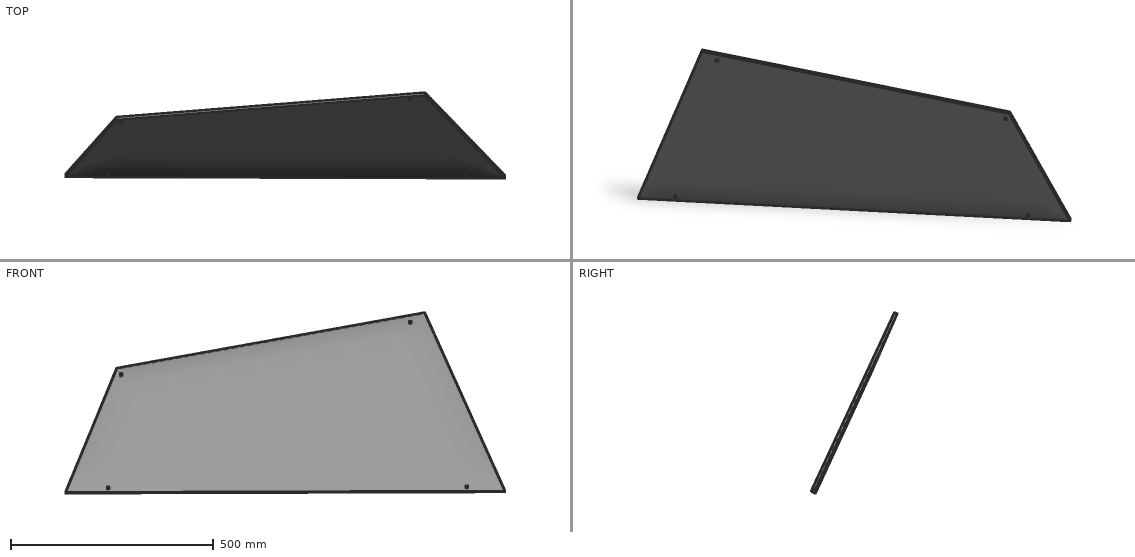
import cadquery as cq
import math

bottom_length = 1088.0
top_left = (127.0, 338.0)
top_right = (890.0, 488.0)
thickness = 8.0

hole_diameter = 6.3
bottom_hole_height = 12.0
hole_centers = [
    (106.0, bottom_hole_height),
    (994.0, bottom_hole_height),
    (854.0, 461.0),
    (138.0, 321.0),
]

lean_angle = 24.9
bottom_edge_forward = 3.0
bottom_edge_rise = 3.0

lean = math.radians(lean_angle)
bottom_edge = cq.Vector(bottom_length, -bottom_edge_forward, bottom_edge_rise)
upright = cq.Vector(0, math.sin(lean), math.cos(lean))
front_normal = bottom_edge.cross(upright)
front_face = cq.Plane(origin=(0, 0, 0), xDir=bottom_edge, normal=front_normal)


def make_panel():
    """Extrude the outline backwards from the front face."""
    corners = [(0, 0), (bottom_length, 0), top_right, top_left]
    return cq.Workplane(front_face).polyline(corners).close().extrude(-thickness)


def make_holes():
    """Cylinders through the full thickness, square to the front face."""
    return (
        cq.Workplane(front_face)
        .pushPoints(hole_centers)
        .circle(hole_diameter / 2)
        .extrude(-thickness)
    )


result = make_panel().cut(make_holes())